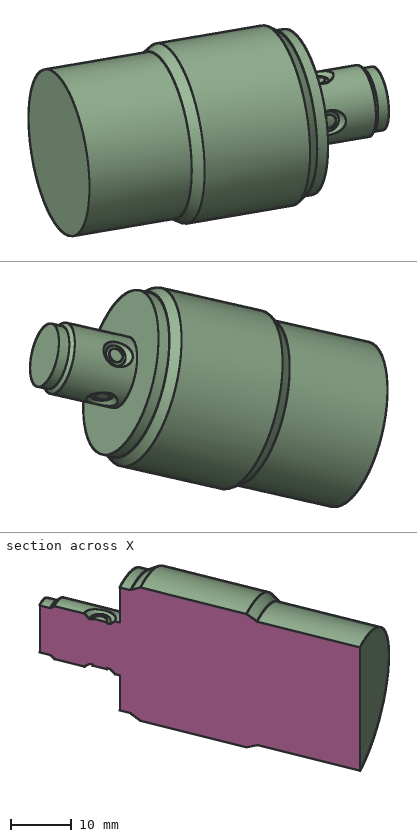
import cadquery as cq

barrel_end = 18.0
flare_end = 19.8
sleeve_end = 38.35
taper_end = 40.05
collar_end = 42.0
neck_end = 53.4
neck_chamfer_end = 54.1
total_length = 56.0

barrel_radius = 13.9
sleeve_radius = 15.0
shoulder_radius = 13.95
collar_radius = 13.85
neck_radius = 6.0
tip_radius = 5.3

socket_station = 45.5
socket_count = 4
socket_mouth_radius = 2.7
socket_floor_radius = 1.8
socket_depth = socket_mouth_radius - socket_floor_radius
socket_clearance = 0.55
pin_radius = 1.25
pin_top_radius = 5.3


def turned_body():
    """Revolve the stepped half-profile about the Y axis."""
    profile = [
        (0, 0),
        (barrel_radius, 0),
        (barrel_radius, barrel_end),
        (shoulder_radius, barrel_end),
        (sleeve_radius, flare_end),
        (sleeve_radius, sleeve_end),
        (shoulder_radius, taper_end),
        (collar_radius, taper_end),
        (collar_radius, collar_end),
        (neck_radius, collar_end),
        (neck_radius, neck_end),
        (tip_radius, neck_chamfer_end),
        (tip_radius, total_length),
        (0, total_length),
    ]
    return cq.Workplane("XY").polyline(profile).close().revolve(360, (0, 0), (0, 1))


def socket_cutter():
    """Make one radial socket opening towards +X, leaving the pin uncut."""
    floor = neck_radius - socket_depth
    outer = neck_radius + socket_clearance
    profile = [
        (floor, 0),
        (floor, socket_floor_radius),
        (outer, socket_mouth_radius + socket_clearance),
        (outer, 0),
    ]
    cone = cq.Workplane("XY").polyline(profile).close().revolve(360, (0, 0), (1, 0))
    pin = cq.Workplane("YZ").circle(pin_radius).extrude(outer)
    core = cq.Workplane("XZ").circle(pin_top_radius).extrude(socket_mouth_radius, both=True)
    return cone.cut(pin.intersect(core)).translate((0, socket_station, 0))


result = turned_body()
for index in range(socket_count):
    angle = index * 360 / socket_count
    result = result.cut(socket_cutter().rotate((0, 0, 0), (0, 1, 0), angle))